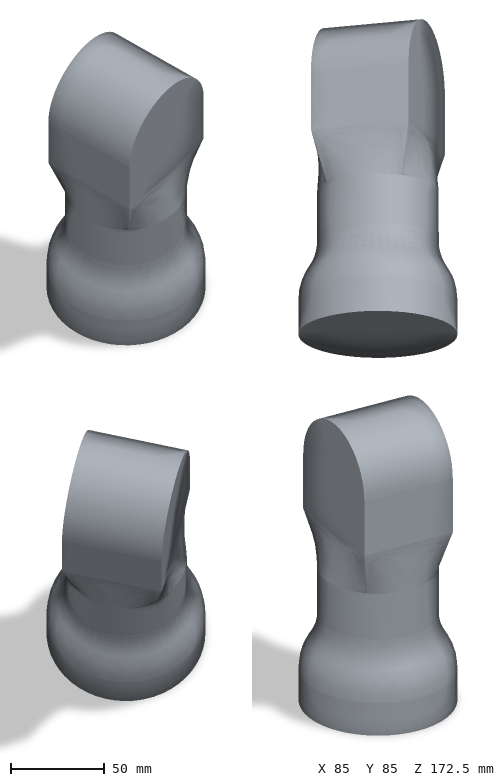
import cadquery as cq
import math

base_diameter = 85.0
neck_diameter = 65.0
head_width = 54.7
total_height = 172.5

base_top = 19.5
shoulder_top = 52.5
neck_top = 80.0
head_bottom = 107.5

base_radius = base_diameter / 2
neck_radius = neck_diameter / 2
head_axis_height = total_height - neck_radius


def make_revolved_body():
    """Round base, S-shaped shoulder and straight neck."""
    middle_radius = (base_radius + neck_radius) / 2
    middle_height = (base_top + shoulder_top) / 2
    profile = (
        cq.Workplane("XZ")
        .lineTo(base_radius, 0)
        .lineTo(base_radius, base_top)
        .tangentArcPoint((middle_radius, middle_height), relative=False)
        .tangentArcPoint((neck_radius, shoulder_top), relative=False)
        .lineTo(neck_radius, neck_top)
        .lineTo(0, neck_top)
        .close()
    )
    return profile.revolve(360, (0, 0), (0, 1))


def make_transition():
    """Ruled blend from the round neck to the rectangular head."""
    corner_angle = math.atan2(neck_diameter, head_width)
    x = neck_radius * math.cos(corner_angle)
    y = neck_radius * math.sin(corner_angle)
    circle = (
        cq.Workplane("XY", origin=(0, 0, neck_top))
        .moveTo(-x, -y)
        .threePointArc((0, -neck_radius), (x, -y))
        .threePointArc((neck_radius, 0), (x, y))
        .threePointArc((0, neck_radius), (-x, y))
        .threePointArc((-neck_radius, 0), (-x, -y))
        .close()
    )
    rectangle = cq.Workplane("XY", origin=(0, 0, head_bottom)).rect(head_width, neck_diameter)
    return cq.Workplane(cq.Solid.makeLoft([circle.val(), rectangle.val()], True))


def make_head():
    """Flat-sided head with a half-round top running along X."""
    return (
        cq.Workplane("YZ")
        .moveTo(-neck_radius, head_bottom)
        .lineTo(neck_radius, head_bottom)
        .lineTo(neck_radius, head_axis_height)
        .threePointArc((0, total_height), (-neck_radius, head_axis_height))
        .close()
        .extrude(head_width / 2, both=True)
    )


result = make_revolved_body().union(make_transition()).union(make_head())